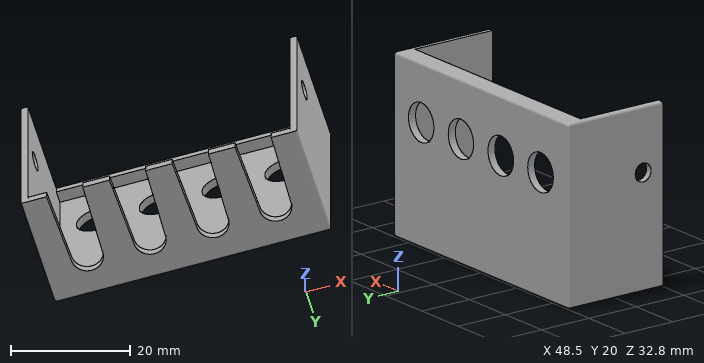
import cadquery as cq

width = 48.5
depth = 20.0
height = 32.75
wall = 1.3
back_wall = 1.5
floor_thickness = 1.5
lip_depth = 3.6
edge_radius = 0.5

station_count = 4
station_pitch = 11.0
back_hole_diameter = 7.05
back_hole_height = 22.2

slot_length = 15.7
slot_inner_width = 5.5
slot_mouth_width = 6.35

side_hole_diameter = 3.3
side_hole_setback = 4.15
side_hole_height = 21.05

inner_width = width - 2 * wall
station_xs = [(i - (station_count - 1) / 2) * station_pitch for i in range(station_count)]


def block(size_x, y_start, y_end, z_start, z_end):
    """Box centred on X, spanning the given Y and Z ranges."""
    return cq.Workplane("XY").box(
        size_x, y_end - y_start, z_end - z_start, centered=(True, False, False)
    ).translate((0, y_start, z_start))


def make_shell():
    """Rounded box hollowed out to leave a floor, three walls and a top lip."""
    outer = block(width, 0, depth, 0, height)
    outer = outer.edges("|Y or >Y").fillet(edge_radius)
    cavity = block(inner_width, 0, depth - back_wall, floor_thickness, height - wall)
    top_opening = block(inner_width, 0, depth - lip_depth, height - wall, height)
    return outer.cut(cavity).cut(top_opening)


def back_hole(x):
    return (
        cq.Workplane("XZ", origin=(x, depth, back_hole_height))
        .circle(back_hole_diameter / 2)
        .extrude(back_wall)
    )


def floor_slot(x):
    inner_half = slot_inner_width / 2
    mouth_half = slot_mouth_width / 2
    arc_center_y = slot_length - inner_half
    return (
        cq.Workplane("XY")
        .moveTo(x - mouth_half, 0)
        .lineTo(x - inner_half, arc_center_y)
        .threePointArc((x, slot_length), (x + inner_half, arc_center_y))
        .lineTo(x + mouth_half, 0)
        .close()
        .extrude(floor_thickness)
    )


def side_hole():
    return (
        cq.Workplane("YZ", origin=(-width / 2, side_hole_setback, side_hole_height))
        .circle(side_hole_diameter / 2)
        .extrude(width)
    )


result = make_shell().cut(side_hole())
for station_x in station_xs:
    result = result.cut(back_hole(station_x)).cut(floor_slot(station_x))